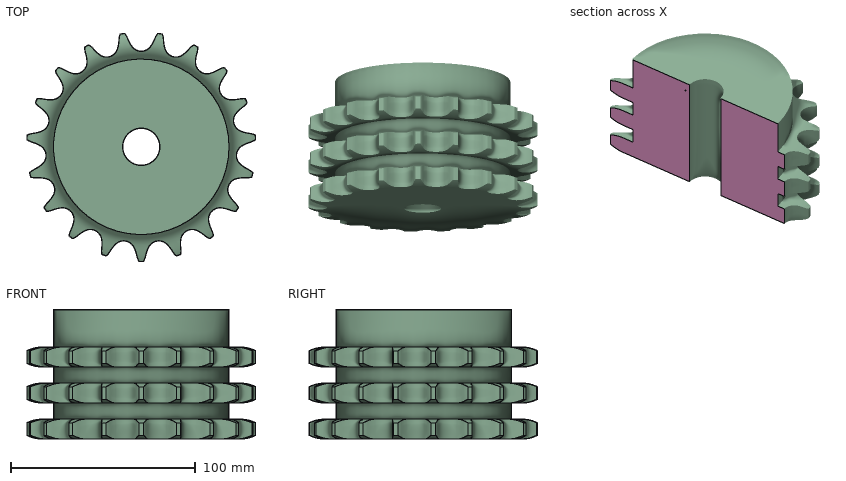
import cadquery as cq
import math


chain_pitch = 19.05
roller_diameter = 12.07
row_spacing = 19.5

tooth_count = 19
row_count = 3
tip_diameter = 124.2
tooth_width = 10.8
hub_diameter = 95.0
bore_diameter = 20.0
total_height = 70.0

side_round_radius = chain_pitch
side_round_start_radius = 53.6

half_tooth_angle = 180.0 / tooth_count
pitch_radius = chain_pitch / (2 * math.sin(math.radians(half_tooth_angle)))
tip_radius = tip_diameter / 2

seat_radius = 0.5025 * roller_diameter + 0.038
seat_angle = 35 + 60 / tooth_count
working_angle = 18 - 56 / tooth_count
working_center_distance = 0.8 * roller_diameter
working_radius = working_center_distance + seat_radius
flank_angle = seat_angle - working_angle
topping_center_distance = 1.4 * roller_diameter
topping_center = (
    -topping_center_distance * math.cos(math.radians(half_tooth_angle)),
    pitch_radius - topping_center_distance * math.sin(math.radians(half_tooth_angle)),
)
topping_radius = roller_diameter * (
    0.8 * math.cos(math.radians(working_angle))
    + 1.4 * math.cos(math.radians(17 - 64 / tooth_count))
    - 1.3025
) - 0.038

cutter_margin = 1.0


def point_at(center, radius, angle):
    """Point on a circle, with the angle in degrees from +X."""
    radians = math.radians(angle)
    return (center[0] + radius * math.cos(radians), center[1] + radius * math.sin(radians))


def mirrored(point):
    return (-point[0], point[1])


def tooth_gap():
    """Solid filling the gap centred on +Y, between two neighbouring teeth."""
    seat_center = (0, pitch_radius)
    working_center = point_at(seat_center, working_center_distance, seat_angle)

    gap_bottom = (0, pitch_radius - seat_radius)
    seat_mid = point_at(seat_center, seat_radius, (270 + 180 + seat_angle) / 2)
    seat_end = point_at(seat_center, seat_radius, 180 + seat_angle)
    working_mid = point_at(working_center, working_radius, 180 + (seat_angle + flank_angle) / 2)
    working_end = point_at(working_center, working_radius, 180 + flank_angle)
    topping_start = point_at(topping_center, topping_radius, flank_angle)
    cutter_height = tip_radius + cutter_margin
    topping_end_angle = math.degrees(math.asin((cutter_height - topping_center[1]) / topping_radius))
    topping_mid = point_at(topping_center, topping_radius, (flank_angle + topping_end_angle) / 2)
    topping_end = point_at(topping_center, topping_radius, topping_end_angle)

    return (
        cq.Workplane("XY")
        .moveTo(*gap_bottom)
        .threePointArc(seat_mid, seat_end)
        .threePointArc(working_mid, working_end)
        .lineTo(*topping_start)
        .threePointArc(topping_mid, topping_end)
        .lineTo(*mirrored(topping_end))
        .threePointArc(mirrored(topping_mid), mirrored(topping_start))
        .lineTo(*mirrored(working_end))
        .threePointArc(mirrored(working_mid), mirrored(seat_end))
        .threePointArc(mirrored(seat_mid), gap_bottom)
        .close()
        .extrude(tooth_width)
    )


def side_round_drop(radius):
    """Depth of the rounded tooth side below the flat face at a given radius."""
    reach = radius - side_round_start_radius
    return side_round_radius - math.sqrt(side_round_radius**2 - reach**2)


def row_blank():
    """Disc whose rim is rounded on both faces, tangent to the flat faces."""
    mid_radius = (side_round_start_radius + tip_radius) / 2
    mid_drop = side_round_drop(mid_radius)
    tip_drop = side_round_drop(tip_radius)
    return (
        cq.Workplane("XZ")
        .lineTo(side_round_start_radius, 0)
        .threePointArc((mid_radius, mid_drop), (tip_radius, tip_drop))
        .lineTo(tip_radius, tooth_width - tip_drop)
        .threePointArc(
            (mid_radius, tooth_width - mid_drop),
            (side_round_start_radius, tooth_width),
        )
        .lineTo(0, tooth_width)
        .close()
        .revolve(360, (0, 0, 0), (0, 1, 0))
    )


def toothed_row():
    row = row_blank()
    gap = tooth_gap()
    for index in range(tooth_count):
        row = row.cut(gap.rotate((0, 0, 0), (0, 0, 1), index * 2 * half_tooth_angle))
    return row


def sprocket():
    body = cq.Workplane("XY").circle(hub_diameter / 2).extrude(total_height)
    row = toothed_row()
    for index in range(row_count):
        body = body.union(row.translate((0, 0, index * row_spacing)))
    bore = cq.Workplane("XY").circle(bore_diameter / 2).extrude(total_height)
    return body.cut(bore)


result = sprocket()